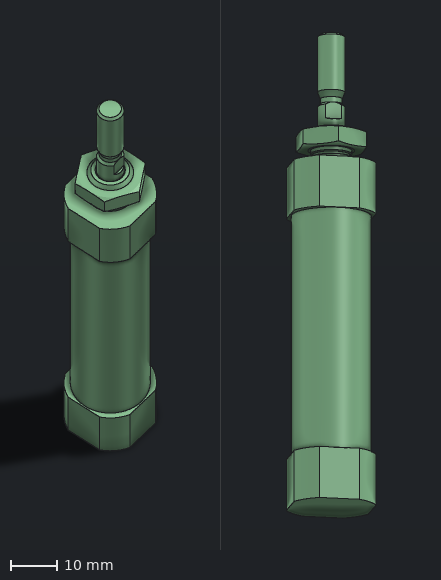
import cadquery as cq
import math

total_height = 104.6
cap_width = 18.0
cap_corner_diameter = 20.0
cap_height = 11.3
tube_diameter = 17.3
body_height = 75.7

nose_diameter = 10.0
nose_relief_diameter = 8.4
nose_shoulder_diameter = 8.9
collar_height = 1.5
relief_height = 0.7
nose_top = 83.7
mouth_diameter = 6.5
nose_chamfer = (nose_diameter - nose_relief_diameter) / 2

nut_sides = 6
nut_flats = 14.0
nut_bottom = 79.0
nut_height = 3.9
nut_chamfer_angle = 15.0

rod_diameter = 6.0
rod_neck_diameter = 4.8
rod_tip_diameter = 4.8
rod_shoulder_top = 89.2
rod_thread_start = 90.4
rod_thread_cone_height = 1.5
rod_tip_chamfer = 0.5
rod_depth = nose_top - body_height

flat_spacing = rod_neck_diameter
flat_bottom = 85.4
flat_end_radius = 5.2


def cylinder(diameter, bottom, height):
    return cq.Workplane("XY").workplane(offset=bottom).circle(diameter / 2).extrude(height)


def revolve_about_z(points):
    """Revolve a closed (radius, z) outline about the Z axis."""
    return cq.Workplane("XZ").polyline(points).close().revolve(360, (0, 0), (0, 1))


def make_cap(bottom):
    """Round cap cut to a square by four flats."""
    square = (
        cq.Workplane("XY").workplane(offset=bottom).rect(cap_width, cap_width).extrude(cap_height)
    )
    return square.intersect(cylinder(cap_corner_diameter, bottom, cap_height))


def make_nose():
    """Collar, relief groove, chamfered shoulder and threaded length, chamfered at its top."""
    collar_top = body_height + collar_height
    nose_radius = nose_diameter / 2
    relief_radius = nose_relief_diameter / 2
    relief_top = collar_top + relief_height
    shoulder_radius = nose_shoulder_diameter / 2
    shoulder_chamfer = shoulder_radius - relief_radius
    return revolve_about_z([
        (0, body_height),
        (nose_radius, body_height),
        (nose_radius, collar_top),
        (relief_radius, collar_top),
        (relief_radius, relief_top),
        (shoulder_radius, relief_top + shoulder_chamfer),
        (shoulder_radius, nut_bottom),
        (nose_radius, nut_bottom),
        (nose_radius, nose_top - nose_chamfer),
        (nose_radius - nose_chamfer, nose_top),
        (0, nose_top),
    ])


def make_mouth_cutter():
    """45-degree countersink where the rod leaves the nose."""
    mouth_radius = mouth_diameter / 2
    mouth_depth = mouth_radius - rod_diameter / 2
    return revolve_about_z([
        (0, nose_top - mouth_depth),
        (rod_diameter / 2, nose_top - mouth_depth),
        (mouth_radius, nose_top),
        (0, nose_top),
    ])


def make_housing():
    tube_length = body_height - 2 * cap_height
    rod_bore = cylinder(rod_diameter, nose_top - rod_depth, rod_depth)
    return (
        make_cap(0)
        .union(cylinder(tube_diameter, cap_height, tube_length))
        .union(make_cap(body_height - cap_height))
        .union(make_nose())
        .cut(rod_bore)
        .cut(make_mouth_cutter())
    )


def make_nut():
    """Hexagon with corners on the X axis, corners chamfered by a cone at both ends."""
    corner_diameter = nut_flats / math.cos(math.pi / nut_sides)
    corner_radius = corner_diameter / 2
    flat_radius = nut_flats / 2
    nut_top = nut_bottom + nut_height
    chamfer_drop = (corner_radius - flat_radius) * math.tan(math.radians(nut_chamfer_angle))
    hexagon = (
        cq.Workplane("XY").workplane(offset=nut_bottom).polygon(nut_sides, corner_diameter).extrude(nut_height)
    )
    envelope = revolve_about_z([
        (0, nut_bottom),
        (flat_radius, nut_bottom),
        (corner_radius, nut_bottom + chamfer_drop),
        (corner_radius, nut_top - chamfer_drop),
        (flat_radius, nut_top),
        (0, nut_top),
    ])
    return hexagon.intersect(envelope).cut(cylinder(nose_diameter, nut_bottom, nut_height))


def make_flat_cutter(side):
    """Block that cuts one wrench flat, its lower end a shallow arc."""
    rod_radius = rod_diameter / 2
    arc_rise = flat_end_radius - math.sqrt(flat_end_radius ** 2 - rod_radius ** 2)
    flat_depth = (rod_diameter - flat_spacing) / 2
    return (
        cq.Workplane("YZ")
        .workplane(offset=side * flat_spacing / 2)
        .moveTo(-rod_radius, flat_bottom + arc_rise)
        .threePointArc((0, flat_bottom), (rod_radius, flat_bottom + arc_rise))
        .lineTo(rod_radius, rod_thread_start)
        .lineTo(-rod_radius, rod_thread_start)
        .close()
        .extrude(side * flat_depth)
    )


def make_rod():
    rod_radius = rod_diameter / 2
    neck_radius = rod_neck_diameter / 2
    shoulder_chamfer = rod_radius - neck_radius
    rod = revolve_about_z([
        (0, nose_top - rod_depth),
        (rod_radius, nose_top - rod_depth),
        (rod_radius, rod_shoulder_top - shoulder_chamfer),
        (neck_radius, rod_shoulder_top),
        (neck_radius, rod_thread_start),
        (rod_radius, rod_thread_start + rod_thread_cone_height),
        (rod_radius, total_height - rod_tip_chamfer),
        (rod_tip_diameter / 2, total_height),
        (0, total_height),
    ])
    for side in (-1, 1):
        rod = rod.cut(make_flat_cutter(side))
    return rod


housing = make_housing()
nut = make_nut()
rod = make_rod()

result = cq.Compound.makeCompound([housing.val(), nut.val(), rod.val()])